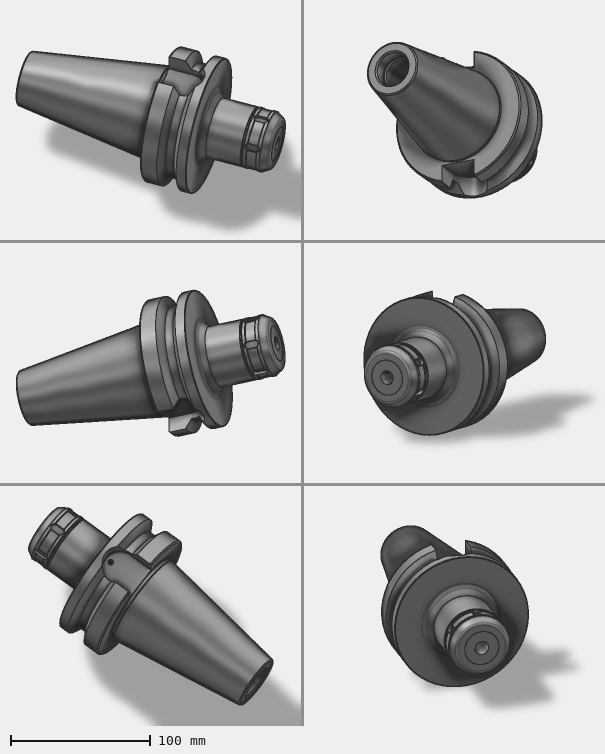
import cadquery as cq
import math


TAPER_LENGTH = 101.8
TAPER_RATE = 7 / 24
GAUGE_RADIUS = 69.85 / 2
TAIL_RADIUS = GAUGE_RADIUS - TAPER_LENGTH * TAPER_RATE / 2
TAIL_CHAMFER = 0.9
RELIEF_RADIUS = 68.9 / 2
RELIEF_START = 0.6

FLANGE_START = 3.0
FLANGE_END = 38.0
FLANGE_RADIUS = 50.0
FLANGE_REAR_CHAMFER = 1.0
FLANGE_FRONT_CHAMFER = 0.5
GROOVE_CENTER = 23.1
GROOVE_FLOOR_RADIUS = 42.5
GROOVE_FLOOR_WIDTH = 6.15
GROOVE_FLANK_ANGLE = 30

NECK_RADIUS = 44.5 / 2
NECK_START = 43.3
NECK_END = 69.4
NECK_CONE_ANGLE = 45
CONE_FILLET = 5.0
GAP_RADIUS = 41.4 / 2

NUT_START = 70.7
NUT_RADIUS = 45.0 / 2
NUT_EDGE_CHAMFER = 0.6
WAIST_START = 73.5
WAIST_END = 81.5
WAIST_DEPTH = 0.45
NOSE_START = 84.4
NOSE_END = 88.6
NOSE_RADIUS = 19.5
NUT_FACE = 89.8
COLLET_RADIUS = 25.4 / 2
FRONT_END = 90.0

SLOT_COUNT = 6
SLOT_LENGTH = 10.7
SLOT_WIDTH = 5.45
SLOT_FLOOR_RADIUS = 19.6

NOTCH_COUNT = 2
NOTCH_WIDTH = 25.7
NOTCH_FLOOR = 35.4
NOTCH_END = 34.1

SCREW_HOLE_X = 29.8
SCREW_HOLE_RADIUS = 3.4 / 2
SCREW_HOLE_MOUTH_RADIUS = 4.0 / 2
SCREW_HOLE_DEPTH = 12.0

BORE_MOUTH_RADIUS = 27.2 / 2
PILOT_RADIUS = 25.0 / 2
PILOT_DEPTH = 10.5
THREAD_MOUTH_RADIUS = 24.0 / 2
THREAD_RADIUS = 21.3 / 2
THREAD_MOUTH_LENGTH = 0.8
THREAD_DEPTH = 45.0
DRILL_POINT_ANGLE = 118
THROUGH_RADIUS = 10.0 / 2


def make_body():
    """Revolve the outer profile of shank, flange, neck and nut about X."""
    half_floor = GROOVE_FLOOR_WIDTH / 2
    flank = (FLANGE_RADIUS - GROOVE_FLOOR_RADIUS) * math.tan(math.radians(GROOVE_FLANK_ANGLE))

    cone_angle = math.radians(NECK_CONE_ANGLE)
    corner_radius = NECK_RADIUS + (NECK_START - FLANGE_END) * math.tan(cone_angle)
    tangent = CONE_FILLET * math.tan(cone_angle / 2)
    arc_center = (FLANGE_END + CONE_FILLET, corner_radius + tangent)
    arc_middle = (
        arc_center[0] - CONE_FILLET * math.cos(cone_angle / 2),
        arc_center[1] - CONE_FILLET * math.sin(cone_angle / 2),
    )
    arc_end = (
        FLANGE_END + tangent * math.cos(cone_angle),
        corner_radius - tangent * math.sin(cone_angle),
    )

    nose_slope = math.atan2(NUT_RADIUS - NUT_EDGE_CHAMFER - NOSE_RADIUS, NOSE_END - NOSE_START)
    nose_fillet = (NUT_FACE - NOSE_END) / (1 - math.sin(nose_slope))
    face_radius = NOSE_RADIUS - nose_fillet * math.cos(nose_slope)

    profile = (
        cq.Workplane("XY")
        .moveTo(-TAPER_LENGTH, 0)
        .lineTo(-TAPER_LENGTH, TAIL_RADIUS - TAIL_CHAMFER)
        .lineTo(-TAPER_LENGTH + TAIL_CHAMFER, TAIL_RADIUS + TAIL_CHAMFER * TAPER_RATE / 2)
        .lineTo(0, GAUGE_RADIUS)
        .lineTo(RELIEF_START, RELIEF_RADIUS)
        .lineTo(FLANGE_START, RELIEF_RADIUS)
        .lineTo(FLANGE_START, FLANGE_RADIUS - FLANGE_REAR_CHAMFER)
        .lineTo(FLANGE_START + FLANGE_REAR_CHAMFER, FLANGE_RADIUS)
        .lineTo(GROOVE_CENTER - half_floor - flank, FLANGE_RADIUS)
        .lineTo(GROOVE_CENTER - half_floor, GROOVE_FLOOR_RADIUS)
        .lineTo(GROOVE_CENTER + half_floor, GROOVE_FLOOR_RADIUS)
        .lineTo(GROOVE_CENTER + half_floor + flank, FLANGE_RADIUS)
        .lineTo(FLANGE_END - FLANGE_FRONT_CHAMFER, FLANGE_RADIUS)
        .lineTo(FLANGE_END, FLANGE_RADIUS - FLANGE_FRONT_CHAMFER)
        .lineTo(FLANGE_END, arc_center[1])
        .threePointArc(arc_middle, arc_end)
        .lineTo(NECK_START, NECK_RADIUS)
        .lineTo(NECK_END, NECK_RADIUS)
        .lineTo(NECK_END, GAP_RADIUS)
        .lineTo(NUT_START, GAP_RADIUS)
        .lineTo(NUT_START, NUT_RADIUS - NUT_EDGE_CHAMFER)
        .lineTo(NUT_START + NUT_EDGE_CHAMFER, NUT_RADIUS)
        .lineTo(WAIST_START, NUT_RADIUS)
        .lineTo(WAIST_START + WAIST_DEPTH, NUT_RADIUS - WAIST_DEPTH)
        .lineTo(WAIST_END - WAIST_DEPTH, NUT_RADIUS - WAIST_DEPTH)
        .lineTo(WAIST_END, NUT_RADIUS)
        .lineTo(NOSE_START - NUT_EDGE_CHAMFER, NUT_RADIUS)
        .lineTo(NOSE_START, NUT_RADIUS - NUT_EDGE_CHAMFER)
        .lineTo(NOSE_END, NOSE_RADIUS)
        .tangentArcPoint((NUT_FACE, face_radius), relative=False)
        .lineTo(NUT_FACE, COLLET_RADIUS)
        .lineTo(FRONT_END, COLLET_RADIUS)
        .lineTo(FRONT_END, 0)
        .close()
    )
    return profile.revolve(360, (0, 0, 0), (1, 0, 0))


def make_bore():
    """Stepped bore: chamfered pilot, thread core, drill point and through hole."""
    mouth_chamfer = BORE_MOUTH_RADIUS - PILOT_RADIUS
    pilot_end = PILOT_DEPTH - TAPER_LENGTH
    thread_end = THREAD_DEPTH - TAPER_LENGTH
    mouth_end = pilot_end + THREAD_MOUTH_LENGTH
    point_slope = math.tan(math.radians(DRILL_POINT_ANGLE / 2))
    countersink_length = (THREAD_MOUTH_RADIUS - THREAD_RADIUS) / point_slope
    point_length = (THREAD_RADIUS - THROUGH_RADIUS) / point_slope
    profile = (
        cq.Workplane("XY")
        .moveTo(-TAPER_LENGTH, 0)
        .lineTo(-TAPER_LENGTH, BORE_MOUTH_RADIUS)
        .lineTo(-TAPER_LENGTH + mouth_chamfer, PILOT_RADIUS)
        .lineTo(pilot_end, PILOT_RADIUS)
        .lineTo(pilot_end, THREAD_MOUTH_RADIUS)
        .lineTo(mouth_end, THREAD_MOUTH_RADIUS)
        .lineTo(mouth_end + countersink_length, THREAD_RADIUS)
        .lineTo(thread_end, THREAD_RADIUS)
        .lineTo(thread_end + point_length, THROUGH_RADIUS)
        .lineTo(FRONT_END, THROUGH_RADIUS)
        .lineTo(FRONT_END, 0)
        .close()
    )
    return profile.revolve(360, (0, 0, 0), (1, 0, 0))


def make_notch():
    """Round-ended drive notch on +Z, open towards the taper, with its screw hole."""
    end_radius = NOTCH_WIDTH / 2
    end_center = NOTCH_END - end_radius
    height = FLANGE_RADIUS - NOTCH_FLOOR
    floor = cq.Workplane("XY", origin=(0, 0, NOTCH_FLOOR))
    channel = (
        floor.moveTo(0, -end_radius)
        .lineTo(end_center, -end_radius)
        .threePointArc((NOTCH_END, 0), (end_center, end_radius))
        .lineTo(0, end_radius)
        .close()
        .extrude(height)
    )
    chamfer = SCREW_HOLE_MOUTH_RADIUS - SCREW_HOLE_RADIUS
    hole = (
        cq.Workplane("XZ")
        .moveTo(SCREW_HOLE_X, NOTCH_FLOOR)
        .lineTo(SCREW_HOLE_X + SCREW_HOLE_MOUTH_RADIUS, NOTCH_FLOOR)
        .lineTo(SCREW_HOLE_X + SCREW_HOLE_RADIUS, NOTCH_FLOOR - chamfer)
        .lineTo(SCREW_HOLE_X + SCREW_HOLE_RADIUS, NOTCH_FLOOR - SCREW_HOLE_DEPTH)
        .lineTo(SCREW_HOLE_X, NOTCH_FLOOR - SCREW_HOLE_DEPTH)
        .close()
        .revolve(360, (SCREW_HOLE_X, 0, 0), (SCREW_HOLE_X, 1, 0))
    )
    return channel.union(hole)


def make_spanner_slot():
    """Round-ended flat-bottomed slot on the +Z side of the nut waist."""
    slot_x = (WAIST_START + WAIST_END) / 2
    return (
        cq.Workplane("XY", origin=(slot_x, 0, SLOT_FLOOR_RADIUS))
        .slot2D(SLOT_LENGTH, SLOT_WIDTH)
        .extrude(NUT_RADIUS - SLOT_FLOOR_RADIUS)
    )


def around_axis(tool, count):
    """Copies of a tool spaced evenly about the X axis."""
    step = 360 / count
    return [tool.rotate((0, 0, 0), (1, 0, 0), index * step) for index in range(count)]


result = make_body().cut(make_bore())
for notch in around_axis(make_notch(), NOTCH_COUNT):
    result = result.cut(notch)
for slot in around_axis(make_spanner_slot(), SLOT_COUNT):
    result = result.cut(slot)